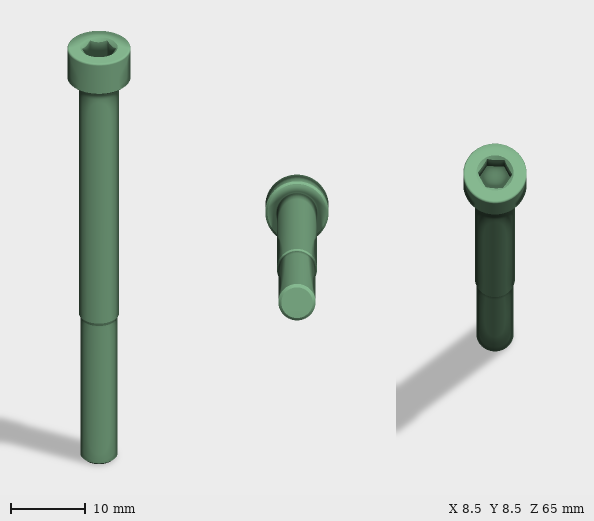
import cadquery as cq
import math


head_diameter = 8.5
head_height = 5.0
head_top_fillet = 0.25
head_bottom_chamfer = 0.3

shank_length = 60.0
plain_diameter = 5.4
thread_diameter = 5.0
thread_length = 22.25
neck_fillet = 0.2
step_length = 0.5
tip_chamfer_width = 0.4
tip_chamfer_height = 0.4

socket_sides = 6
socket_across_flats = 4.0
socket_depth = 3.0
lead_in_diameter = 5.0
lead_in_angle = 45.0


def make_body():
    """Revolve the half profile of the head and shank about the Z axis."""
    head_radius = head_diameter / 2
    plain_radius = plain_diameter / 2
    thread_radius = thread_diameter / 2
    thread_top = thread_length - shank_length
    diagonal = math.sqrt(0.5)

    top_arc_middle = (
        head_radius - head_top_fillet * (1 - diagonal),
        head_height - head_top_fillet * (1 - diagonal),
    )
    neck_arc_middle = (
        plain_radius + neck_fillet * (1 - diagonal),
        -neck_fillet * (1 - diagonal),
    )
    return (
        cq.Workplane("XZ")
        .moveTo(0, head_height)
        .lineTo(head_radius - head_top_fillet, head_height)
        .threePointArc(top_arc_middle, (head_radius, head_height - head_top_fillet))
        .lineTo(head_radius, head_bottom_chamfer)
        .lineTo(head_radius - head_bottom_chamfer, 0)
        .lineTo(plain_radius + neck_fillet, 0)
        .threePointArc(neck_arc_middle, (plain_radius, -neck_fillet))
        .lineTo(plain_radius, thread_top + step_length)
        .lineTo(thread_radius, thread_top)
        .lineTo(thread_radius, tip_chamfer_height - shank_length)
        .lineTo(thread_radius - tip_chamfer_width, -shank_length)
        .lineTo(0, -shank_length)
        .close()
        .revolve(360, (0, 0, 0), (0, 1, 0))
    )


def make_socket():
    """Build the hexagonal recess, two corners on the Y axis."""
    across_corners = socket_across_flats / math.cos(math.pi / socket_sides)
    return (
        cq.Workplane("XY")
        .workplane(offset=head_height - socket_depth)
        .transformed(rotate=(0, 0, 90))
        .polygon(socket_sides, across_corners)
        .extrude(socket_depth)
    )


def make_lead_in():
    """Build the countersink cone that opens the socket at the top face."""
    radius = lead_in_diameter / 2
    depth = radius * math.tan(math.radians(lead_in_angle))
    return (
        cq.Workplane("XZ")
        .moveTo(0, head_height)
        .lineTo(radius, head_height)
        .lineTo(0, head_height - depth)
        .close()
        .revolve(360, (0, 0, 0), (0, 1, 0))
    )


result = make_body().cut(make_socket()).cut(make_lead_in())